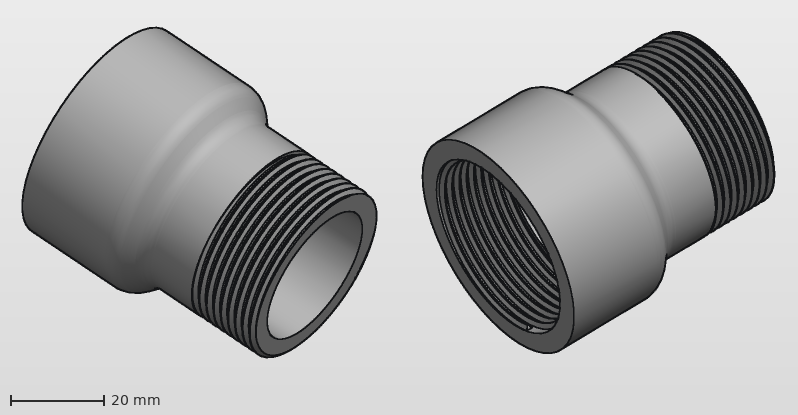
import cadquery as cq
import math

length = 60.0
socket_diameter = 51.85
bore_diameter = 32.0
bend_radius = 5.0
bend_angle = math.radians(45)

outer_taper_start = 23.0
socket_thread_end = 18.0
spigot_thread_start = 43.0

pitch = 6 / 3
flank_angle = math.radians(30)
crest_width = pitch / 8
root_overlap = 0.1
crest_clearance = 0.05
spigot_major_diameter = 41.8
spigot_minor_diameter = 39.55
socket_major_diameter = 42.25
socket_minor_diameter = 40.0

spigot_crest_start = 41.65
spigot_start_angle = 0
spigot_turns = 10
socket_crest_start = 0.85
socket_start_angle = -27
socket_turns = 9.5


def add_s_taper(profile, start_x, start_radius, end_radius):
    """Continue a profile with two opposite tangent bends joined by a straight cone."""
    bend_run = bend_radius * math.sin(bend_angle)
    bend_drop = bend_radius * (1 - math.cos(bend_angle))
    half_run = bend_radius * math.sin(bend_angle / 2)
    half_drop = bend_radius * (1 - math.cos(bend_angle / 2))
    cone_run = (start_radius - end_radius - 2 * bend_drop) / math.tan(bend_angle)
    cone_end_x = start_x + bend_run + cone_run
    end_x = cone_end_x + bend_run
    return (
        profile.lineTo(start_x, start_radius)
        .threePointArc(
            (start_x + half_run, start_radius - half_drop),
            (start_x + bend_run, start_radius - bend_drop),
        )
        .lineTo(cone_end_x, end_radius + bend_drop)
        .threePointArc((end_x - half_run, end_radius + half_drop), (end_x, end_radius))
    )


def revolve_about_x(profile):
    return profile.close().revolve(360, (0, 0, 0), (1, 0, 0))


def make_outside():
    profile = cq.Workplane("XY").lineTo(0, socket_diameter / 2)
    profile = add_s_taper(profile, outer_taper_start, socket_diameter / 2, spigot_major_diameter / 2)
    profile = (
        profile.lineTo(spigot_thread_start, spigot_major_diameter / 2)
        .lineTo(spigot_thread_start, spigot_minor_diameter / 2)
        .lineTo(length, spigot_minor_diameter / 2)
        .lineTo(length, 0)
    )
    return revolve_about_x(profile)


def make_inside():
    profile = (
        cq.Workplane("XY")
        .lineTo(0, socket_major_diameter / 2)
        .lineTo(socket_thread_end, socket_major_diameter / 2)
    )
    profile = add_s_taper(profile, socket_thread_end, socket_minor_diameter / 2, bore_diameter / 2)
    profile = profile.lineTo(length, bore_diameter / 2).lineTo(length, 0)
    return revolve_about_x(profile)


def make_ridge(root_diameter, crest_diameter, crest_start, turns, start_angle):
    """Right-handed helical ridge along +X; its root is sunk slightly into the wall."""
    root_radius = root_diameter / 2
    crest_radius = crest_diameter / 2
    direction = math.copysign(1, crest_radius - root_radius)
    base_radius = root_radius - direction * root_overlap
    crest_half = crest_width / 2
    base_half = crest_half + abs(crest_radius - base_radius) * math.tan(flank_angle)
    path = cq.Workplane(obj=cq.Wire.makeHelix(pitch, turns * pitch, root_radius))
    ridge = (
        cq.Workplane("XZ")
        .polyline([
            (base_radius, -base_half),
            (crest_radius, -crest_half),
            (crest_radius, crest_half),
            (base_radius, base_half),
        ])
        .close()
        .sweep(path, isFrenet=True)
    )
    return (
        ridge.rotate((0, 0, 0), (0, 1, 0), 90)
        .rotate((0, 0, 0), (1, 0, 0), start_angle)
        .translate((crest_start, 0, 0))
    )


def make_end_trim():
    """Stock beyond the spigot face, where the ridge runs past the end of the part."""
    return cq.Workplane("YZ", origin=(length, 0, 0)).circle(socket_diameter / 2).extrude(2 * pitch)


spigot_ridge = make_ridge(
    spigot_minor_diameter,
    spigot_major_diameter - crest_clearance,
    spigot_crest_start,
    spigot_turns,
    spigot_start_angle,
).cut(make_end_trim())
socket_ridge = make_ridge(
    socket_major_diameter,
    socket_minor_diameter + crest_clearance,
    socket_crest_start,
    socket_turns,
    socket_start_angle,
)

result = make_outside().cut(make_inside()).union(spigot_ridge).union(socket_ridge)